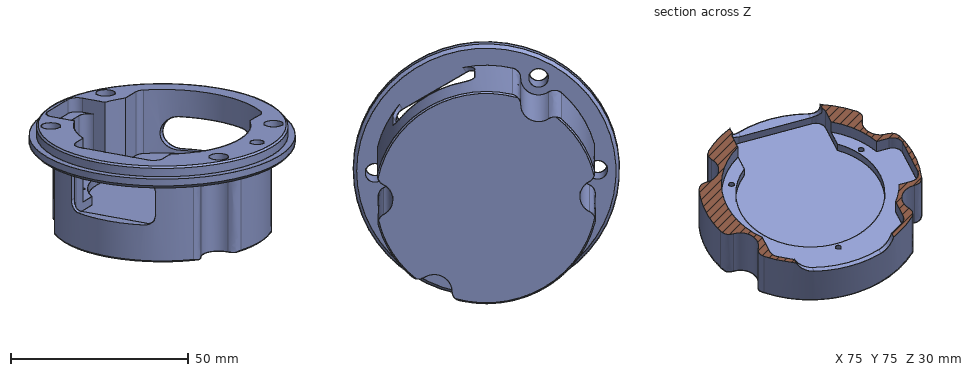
import cadquery as cq
import math


height = 30.0
flange_radius = 37.5
flange_bottom = 24.0
flange_top = 27.0
flange_chamfer = 1.0
lip_radius = 35.5
lip_chamfer = 0.5
body_radius = 31.5
body_chamfer = 0.45

screw_x = 27.0
screw_y = 16.0
screw_diameter = 5.5
scallop_radius = 5.0
scallop_edge_radius = 3.0

cavity_radius = 25.0
cavity_floor = 11.0
recess_radius = 21.0
recess_floor = 8.5
back_bay_radius = 30.0
back_bay_width = 40.0
back_bay_corner = 3.0
front_bay_reach = 28.0
front_bay_width = 28.0
side_bay_reach = 30.0
side_bay_width = 17.9
shelf_reach = 33.6
shelf_level = 25.8
bay_corner = 3.0

front_window_width = 27.0
front_window_corner = 3.0
back_window_width = 30.0
back_window_bottom = 12.0
back_window_top = 22.0
back_window_corner = 4.95

tip_angle = 118.0
pin_circle_radius = 22.5
pin_diameter = 1.6
pin_depth = 3.0
pin_angles = (90, 210, 330)
locating_x = 30.5
locating_diameter = 4.0
locating_depth = 4.0


def cylinder(radius, bottom, top):
    return cq.Workplane("XY").workplane(offset=bottom).circle(radius).extrude(top - bottom)


def box(x_range, y_range, z_range):
    ranges = (x_range, y_range, z_range)
    size = [high - low for low, high in ranges]
    corner = [low for low, high in ranges]
    return cq.Workplane("XY").box(*size, centered=False).translate(tuple(corner))


def blind_hole(x, y, top, diameter, depth):
    """Drilled hole with a conical tip below its full-diameter depth."""
    radius = diameter / 2
    tip = radius / math.tan(math.radians(tip_angle / 2))
    profile = [(0, 0), (radius, 0), (radius, -depth), (0, -depth - tip)]
    hole = cq.Workplane("XZ").polyline(profile).close().revolve(360, (0, 0), (0, 1))
    return hole.translate((x, y, top))


def window(width, bottom, top, corner, y_start, y_end):
    """Rounded rectangular opening that runs along Y."""
    opening = box((-width / 2, width / 2), (y_start, y_end), (bottom, top))
    return opening.edges("|Y").fillet(corner)


def make_flange():
    lower = cylinder(flange_radius, flange_bottom, flange_top)
    lip = cylinder(lip_radius, flange_bottom, height)
    return lower.faces("<Z").chamfer(flange_chamfer).union(lip.faces(">Z").chamfer(lip_chamfer))


def make_body():
    """Scalloped cylinder; only its round outer rim is chamfered."""
    body = cylinder(body_radius, 0, flange_bottom)
    scallop = cylinder(scallop_radius, 0, flange_bottom).translate((math.hypot(screw_x, screw_y), 0, 0))
    screw_angle = math.degrees(math.atan2(screw_y, screw_x))
    for angle in (screw_angle, 180 - screw_angle, 180 + screw_angle, -screw_angle):
        body = body.cut(scallop.rotate((0, 0, 0), (0, 0, 1), angle))
    body = body.edges("|Z").fillet(scallop_edge_radius)
    return body.intersect(cylinder(body_radius, 0, flange_bottom).faces("<Z").chamfer(body_chamfer))


def make_cavity():
    main = cylinder(cavity_radius, cavity_floor, height)
    recess = cylinder(recess_radius, recess_floor, height)

    half_back = back_bay_width / 2
    back_limits = box((-half_back, half_back), (0, back_bay_radius), (cavity_floor, height))
    back_bay = cylinder(back_bay_radius, cavity_floor, height).intersect(back_limits)
    back_bay = back_bay.edges("|Z").edges(">Y").fillet(back_bay_corner)

    half_front = front_bay_width / 2
    front_bay = box((-half_front, half_front), (-front_bay_reach, 0), (recess_floor, height))
    front_bay = front_bay.edges("|Z and <Y").fillet(bay_corner)

    cavity = main.union(recess).union(back_bay).union(front_bay)
    half_side = side_bay_width / 2
    for reach, floor in ((side_bay_reach, cavity_floor), (shelf_reach, shelf_level)):
        side_bay = box((-reach, 0), (-half_side, half_side), (floor, height))
        cavity = cavity.union(side_bay.edges("|Z and <X").fillet(bay_corner))
    return cavity


housing = make_flange().union(make_body()).cut(make_cavity())

screw_holes = (
    cq.Workplane("XY")
    .rect(2 * screw_x, 2 * screw_y, forConstruction=True)
    .vertices()
    .circle(screw_diameter / 2)
    .extrude(height)
)
housing = housing.cut(screw_holes)

housing = housing.cut(
    window(
        front_window_width,
        cavity_floor,
        flange_bottom,
        front_window_corner,
        -body_radius,
        -cavity_radius,
    )
)
housing = housing.cut(
    window(
        back_window_width,
        back_window_bottom,
        back_window_top,
        back_window_corner,
        cavity_radius,
        body_radius,
    )
)

for angle in pin_angles:
    pin_x = pin_circle_radius * math.cos(math.radians(angle))
    pin_y = pin_circle_radius * math.sin(math.radians(angle))
    housing = housing.cut(blind_hole(pin_x, pin_y, cavity_floor, pin_diameter, pin_depth))
housing = housing.cut(blind_hole(locating_x, 0, height, locating_diameter, locating_depth))

result = housing